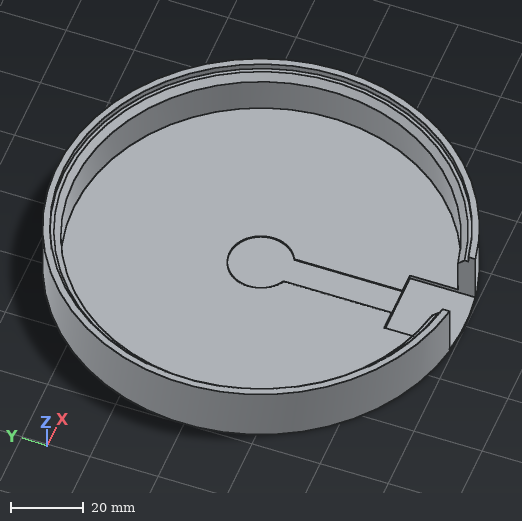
import cadquery as cq

outer_diameter = 120
height = 17.3
floor_thickness = 2.0
cavity_diameter = 109.9

recess_diameter = 115.9
recess_depth = 1.9
cone_top_diameter = 113.8
cone_height = 2.0

keyhole_diameter = 18.5
channel_width = 8.4
keyhole_depth = 0.4

notch_width = 19.9
notch_inner_distance = 40.0
notch_floor_height = 0.8

outer_radius = outer_diameter / 2
cavity_radius = cavity_diameter / 2
recess_radius = recess_diameter / 2
cone_top_radius = cone_top_diameter / 2
ledge_height = height - recess_depth


def tray_body():
    """Revolve the half section of the floor and stepped wall about Z."""
    return (
        cq.Workplane("XZ")
        .polyline([
            (0, 0),
            (outer_radius, 0),
            (outer_radius, height),
            (recess_radius, height),
            (recess_radius, ledge_height),
            (cone_top_radius, ledge_height),
            (cavity_radius, ledge_height - cone_height),
            (cavity_radius, floor_thickness),
            (0, floor_thickness),
        ])
        .close()
        .revolve(360, (0, 0, 0), (0, 1, 0))
    )


def radial_slot(width, inner_distance, outer_distance, base_height):
    """Make an upward-open cutter that runs along -Y between two distances from the axis."""
    return cq.Workplane("XY").box(
        width,
        outer_distance - inner_distance,
        height - base_height,
        centered=(True, False, False),
    ).translate((0, -outer_distance, base_height))


keyhole_base = floor_thickness - keyhole_depth
keyhole_circle = (
    cq.Workplane("XY")
    .workplane(offset=keyhole_base)
    .circle(keyhole_diameter / 2)
    .extrude(keyhole_depth)
)
keyhole_channel = radial_slot(channel_width, 0, notch_inner_distance, keyhole_base)
wall_notch = radial_slot(notch_width, notch_inner_distance, outer_radius, notch_floor_height)

result = tray_body().cut(keyhole_circle).cut(keyhole_channel).cut(wall_notch)